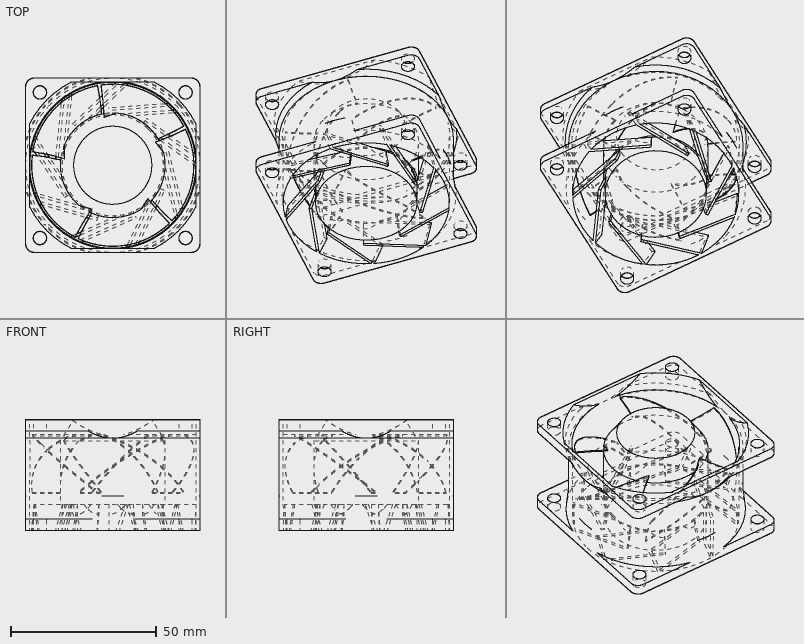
import cadquery as cq
import math

side = 60.0
height = 38.15
flange_thickness = 3.95
corner_radius = 3.0

hole_diameter = 4.5
hole_spacing = 50.05

barrel_radius = side / 2
lower_flare_radius = 30.85
lower_flare_top = 11.95
upper_flare_radius = 31.15
upper_flare_bottom = 31.8

inlet_radius = 31.9
inlet_half_width = 28.6
inlet_bottom_radius = 28.85
inlet_depth = 5.05
throat_radius = 28.55
throat_depth = 7.3

plate_radius = 17.4
stator_height = 9.0
vane_count = 9
vane_first_angle = 54.0
vane_offset = 16.5
vane_lean = 2.4
vane_thickness = 0.9
vane_root_overlap = 0.6

hub_radius = 18.0
hub_top_radius = 13.45
hub_shoulder = 30.9
hub_bottom = stator_height

blade_count = 5
tip_radius = 27.9
blade_root_radius = 14.4
blade_trim = 1.2
blade_first_angle = 26.5
blade_root_lead = 3.0
blade_bow = 1.2
blade_wrap = 69.6
blade_top = 33.0
blade_drop = 19.8
blade_curve_power = 1.4
blade_thickness = 0.5
radial_steps = 6
wrap_steps = 14


def make_square(thickness):
    """Rounded square plate standing on Z = 0."""
    return cq.Workplane("XY").rect(side, side).extrude(thickness).edges("|Z").fillet(corner_radius)


def revolve_profile(points):
    """Solid of revolution about Z from (radius, z) points."""
    return cq.Workplane("XZ").polyline(points).close().revolve(360, (0, 0), (0, 1))


def make_barrel():
    """Round barrel with flares, trimmed flush with the sides of the flanges."""
    barrel = revolve_profile([
        (0, 0),
        (lower_flare_radius, 0),
        (lower_flare_radius, flange_thickness),
        (barrel_radius, lower_flare_top),
        (barrel_radius, upper_flare_bottom),
        (upper_flare_radius, height - flange_thickness),
        (upper_flare_radius, height),
        (0, height),
    ])
    return barrel.intersect(make_square(height))


def make_bore():
    """Through bore with a steep throat and a flared inlet that has four flat sides."""
    bore = revolve_profile([
        (0, 0),
        (throat_radius, 0),
        (throat_radius, height - throat_depth),
        (inlet_bottom_radius, height - inlet_depth),
        (inlet_radius, height),
        (0, height),
    ])
    inlet_width = 2 * inlet_half_width
    return bore.intersect(cq.Workplane("XY").rect(inlet_width, inlet_width).extrude(height))


def make_stator():
    """Motor plate with leaning vanes that run nearly tangentially out to the barrel."""
    stator = cq.Workplane("XY").circle(plate_radius).extrude(stator_height)
    vane = (
        cq.Workplane("XZ")
        .polyline([
            (vane_offset, stator_height),
            (vane_offset + vane_thickness, stator_height),
            (vane_offset + vane_thickness + vane_lean, 0),
            (vane_offset + vane_lean, 0),
        ])
        .close()
        .extrude(barrel_radius)
    )
    vane_end_radius = (barrel_radius + throat_radius) / 2
    vane_root_radius = plate_radius - vane_root_overlap
    vane_zone = cq.Workplane("XY").circle(vane_end_radius).circle(vane_root_radius).extrude(stator_height)
    vane = vane.intersect(vane_zone)
    for i in range(vane_count):
        angle = vane_first_angle + i * 360 / vane_count
        stator = stator.union(vane.rotate((0, 0, 0), (0, 0, 1), angle))
    return stator


def make_housing():
    """Flanged, bored barrel with the stator inside it."""
    top_flange = make_square(flange_thickness).translate((0, 0, height - flange_thickness))
    shell = make_square(flange_thickness).union(make_barrel()).union(top_flange)
    holes = (
        cq.Workplane("XY")
        .rect(hole_spacing, hole_spacing, forConstruction=True)
        .vertices()
        .circle(hole_diameter / 2)
        .extrude(height)
    )
    return shell.cut(make_bore()).cut(holes).union(make_stator())


def blade_point(radius_share, wrap_share):
    """Point on the lower face of a blade, from its root to beyond its tip and from top to bottom."""
    outer = tip_radius + blade_trim
    radius = blade_root_radius + radius_share * (outer - blade_root_radius)
    lead = blade_root_lead * (1 - radius_share)
    bow = 4 * blade_bow * radius_share * (1 - radius_share)
    angle = math.radians(blade_first_angle + lead - bow - wrap_share * blade_wrap)
    z = blade_top - blade_thickness - blade_drop * wrap_share ** blade_curve_power
    return cq.Vector(radius * math.cos(angle), radius * math.sin(angle), z)


def make_blade():
    """Thin twisted blade, rooted inside the hub and trimmed to the tip radius."""
    grid = [
        [blade_point(i / radial_steps, j / wrap_steps) for j in range(wrap_steps + 1)]
        for i in range(radial_steps + 1)
    ]
    face = cq.Face.makeSplineApprox(grid)
    blade = cq.Solid.extrudeLinear(face, cq.Vector(0, 0, blade_thickness))
    return cq.Workplane(blade).intersect(cq.Workplane("XY").circle(tip_radius).extrude(height))


def make_impeller():
    """Conical-topped hub, resting on the motor plate, with its ring of blades."""
    impeller = revolve_profile([
        (0, hub_bottom),
        (hub_radius, hub_bottom),
        (hub_radius, hub_shoulder),
        (hub_top_radius, height),
        (0, height),
    ])
    blade = make_blade()
    for i in range(blade_count):
        impeller = impeller.union(blade.rotate((0, 0, 0), (0, 0, 1), i * 360 / blade_count))
    return impeller


housing = make_housing()
impeller = make_impeller()

result = cq.Compound.makeCompound([housing.solids().val(), impeller.solids().val()])